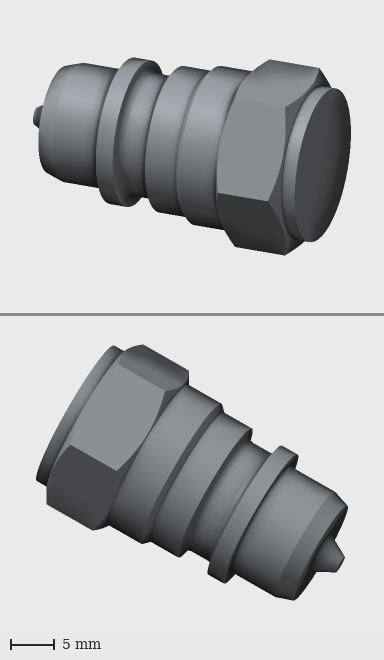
import cadquery as cq
import math

length = 35.25
nose_face_x = 2.68
nose_chamfer_end_x = 4.7
collar_start_x = 10.6
groove_start_x = 12.7
groove_end_x = 16.68
shoulder_start_x = 20.4
hex_start_x = 25.6
hex_end_x = 33.67

tip_radius = 1.02
cone_base_radius = 2.5
nose_face_radius = 6.28
nose_radius = 6.95
collar_radius = 8.55
groove_radius = 7.15
shoulder_radius = 9.27
end_radius = 8.95

front_fillet = 0.9
rear_fillet = 1.02

across_flats = 18.97
across_corners = across_flats / math.cos(math.radians(30))
hex_chamfer_radius = 9.27
hex_chamfer_angle = 30.0
hex_chamfer_length = (across_corners / 2 - hex_chamfer_radius) * math.tan(math.radians(hex_chamfer_angle))


def fillet_midpoint(center_x, center_r, radius, x_direction):
    """Middle of a concave quarter arc at the bottom of the groove."""
    offset = radius * math.sqrt(0.5)
    return center_x + x_direction * offset, center_r - offset


def turned_body():
    """Half profile in (x, radius), revolved about the X axis."""
    front_center = (groove_start_x + front_fillet, groove_radius + front_fillet)
    rear_center = (groove_end_x - rear_fillet, groove_radius + rear_fillet)
    shoulder_end_x = shoulder_start_x + shoulder_radius - collar_radius
    return (
        cq.Workplane("XY")
        .moveTo(0, 0)
        .lineTo(0, tip_radius)
        .lineTo(nose_face_x, cone_base_radius)
        .lineTo(nose_face_x, nose_face_radius)
        .lineTo(nose_chamfer_end_x, nose_radius)
        .lineTo(collar_start_x, nose_radius)
        .lineTo(collar_start_x, collar_radius)
        .lineTo(groove_start_x, collar_radius)
        .lineTo(groove_start_x, front_center[1])
        .threePointArc(fillet_midpoint(*front_center, front_fillet, -1), (front_center[0], groove_radius))
        .lineTo(rear_center[0], groove_radius)
        .threePointArc(fillet_midpoint(*rear_center, rear_fillet, 1), (groove_end_x, rear_center[1]))
        .lineTo(groove_end_x, collar_radius)
        .lineTo(shoulder_start_x, collar_radius)
        .lineTo(shoulder_end_x, shoulder_radius)
        .lineTo(hex_start_x, shoulder_radius)
        .lineTo(hex_start_x, end_radius)
        .lineTo(length, end_radius)
        .lineTo(length, 0)
        .close()
        .revolve(360, (0, 0, 0), (1, 0, 0))
    )


def hexagon():
    """Hexagon with corners on the Y axis, its ends turned to a cone."""
    prism = (
        cq.Workplane("YZ", origin=(hex_start_x, 0, 0))
        .polygon(6, across_corners)
        .extrude(hex_end_x - hex_start_x)
    )
    envelope = (
        cq.Workplane("XY")
        .moveTo(hex_start_x, 0)
        .lineTo(hex_start_x, hex_chamfer_radius)
        .lineTo(hex_start_x + hex_chamfer_length, across_corners / 2)
        .lineTo(hex_end_x - hex_chamfer_length, across_corners / 2)
        .lineTo(hex_end_x, hex_chamfer_radius)
        .lineTo(hex_end_x, 0)
        .close()
        .revolve(360, (0, 0, 0), (1, 0, 0))
    )
    return prism.intersect(envelope)


result = turned_body().union(hexagon())